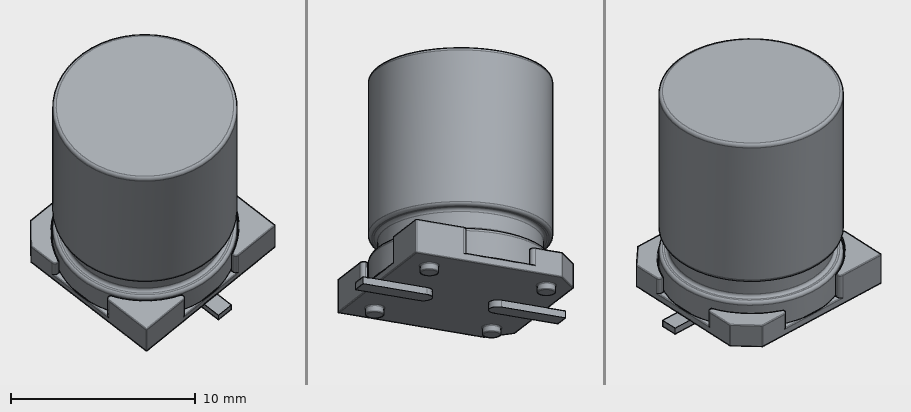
import cadquery as cq

can_diameter = 10.0
can_top = 13.0
can_top_rounding = 0.2
neck_diameter = 9.0
neck_bottom = 2.51
neck_top = 3.81
neck_rounding = 0.2

base_side = can_diameter
base_bottom = 0.4
base_floor = 0.86
low_pad_top = 1.85
high_pad_top = 2.35
corner_cut = 1.25
slot_width = 3.85
slot_mouth_rounding = 0.22
pocket_clearance = 0.05
edge_rounding = 0.05

lead_tip_span = 12.1
lead_inner_span = 3.46
lead_width = 1.0
foot_diameter = 1.0
foot_spacing = 7.0

half_side = base_side / 2


def level(z):
    """Horizontal workplane at height z."""
    return cq.Workplane("XY", origin=(0, 0, z))


def edges_at_level(body, z):
    """All edges of the body that lie at height z."""
    margin = 0.01
    slab = cq.selectors.BoxSelector(
        (-base_side, -base_side, z - margin),
        (base_side, base_side, z + margin),
        boundingbox=True,
    )
    return body.edges(slab)


def make_can():
    """Round can standing on the base floor, with a rounded groove as its neck."""
    can = level(base_floor).circle(can_diameter / 2).extrude(can_top - base_floor)
    neck_groove = (
        level(neck_bottom)
        .circle(can_diameter)
        .circle(neck_diameter / 2)
        .extrude(neck_top - neck_bottom)
    )
    can = can.cut(neck_groove)
    can = can.faces(">Z").edges().fillet(can_top_rounding)
    for z in (neck_bottom, neck_top):
        can = edges_at_level(can, z).fillet(neck_rounding)
    return can


def make_base_blank():
    """Base with two cut corners and four pads, all edges still sharp."""
    blank = (
        level(base_bottom)
        .rect(base_side, base_side)
        .extrude(high_pad_top - base_bottom)
        .edges("|Z and <X")
        .chamfer(corner_cut)
    )
    low_side_relief = (
        level(low_pad_top)
        .center(-half_side / 2, 0)
        .rect(half_side, base_side)
        .extrude(high_pad_top - low_pad_top)
    )
    pad_height = high_pad_top - base_floor
    pocket = level(base_floor).circle(can_diameter / 2 + pocket_clearance).extrude(pad_height)
    slot_along_x = level(base_floor).rect(base_side, slot_width).extrude(pad_height)
    slot_along_y = level(base_floor).rect(slot_width, base_side).extrude(pad_height)
    return blank.cut(low_side_relief).cut(pocket).cut(slot_along_x).cut(slot_along_y)


def round_slot_mouths(base):
    """Round the upright edges where the slots open through the side faces."""
    half_slot = slot_width / 2
    reach = 0.13
    for out in (-half_side, half_side):
        for across in (-half_slot, half_slot):
            for x, y in ((out, across), (across, out)):
                mouth = cq.selectors.BoxSelector(
                    (x - reach, y - reach, base_floor),
                    (x + reach, y + reach, high_pad_top),
                )
                base = base.edges("|Z").edges(mouth).fillet(slot_mouth_rounding)
    return base


def make_base():
    """Base with rounded slot mouths and softened outer edges."""
    base = round_slot_mouths(make_base_blank())
    base = base.edges("|Z and (>X or <X or >Y or <Y)").fillet(edge_rounding)
    for z in (base_bottom, low_pad_top, high_pad_top):
        base = edges_at_level(base, z).fillet(edge_rounding)
    slot_sills = edges_at_level(base, base_floor).edges(">X or <X or >Y or <Y")
    return slot_sills.fillet(edge_rounding)


def make_lead(side):
    """Flat lead with a round inner end; side is -1 or +1 along X."""
    tip = lead_tip_span / 2
    round_center = (lead_inner_span + lead_width) / 2
    strip = (
        level(0)
        .center(side * (tip + round_center) / 2, 0)
        .rect(tip - round_center, lead_width)
        .extrude(base_bottom)
    )
    round_end = level(0).center(side * round_center, 0).circle(lead_width / 2).extrude(base_bottom)
    return strip.union(round_end)


def add_feet(base):
    """Base with four round feet below it, rounded at their rims and roots."""
    feet = (
        level(0)
        .rect(foot_spacing, foot_spacing, forConstruction=True)
        .vertices()
        .circle(foot_diameter / 2)
        .extrude(base_bottom)
    )
    feet = feet.faces("<Z").edges().fillet(edge_rounding)
    base = base.union(feet)
    roots = edges_at_level(base, base_bottom).edges("%CIRCLE")
    return roots.fillet(edge_rounding)


result = add_feet(make_base()).union(make_can())
for side in (-1, 1):
    result = result.union(make_lead(side))